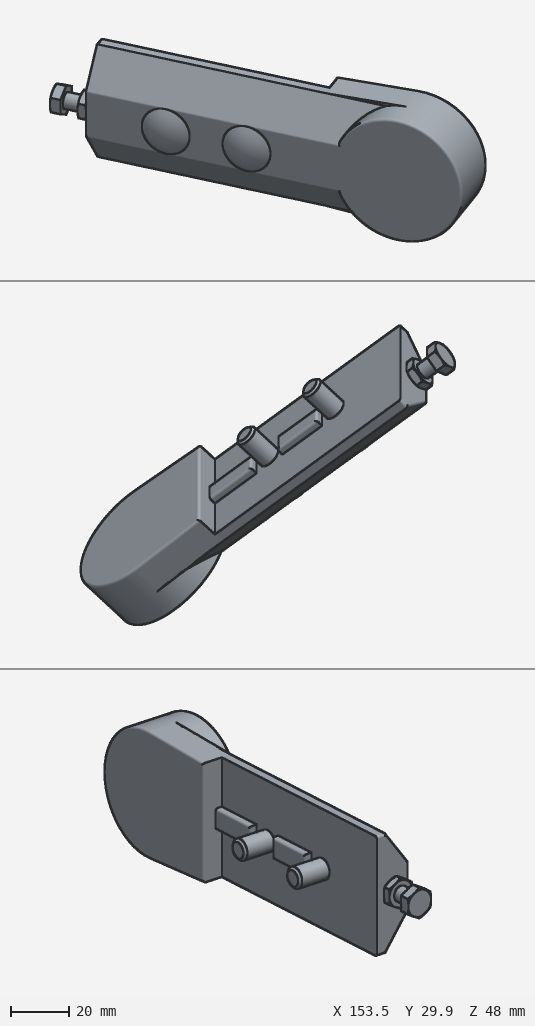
import cadquery as cq
import math


head_radius = 24.0
head_back_y = 8.0
front_y = -14.0
block_start_x = -31.0
edge_fillet = 1.0

arm_end_x = -116.0
arm_half_width = 22.5
arm_flat_half_width = 9.0
side_depth = 4.0

rib_width = 8.0
rib_height = 2.7
rib_bolt_distance = 5.9

bolt_pitch = 30.0
first_bolt_x = -86.0
second_bolt_x = first_bolt_x + bolt_pitch
bolt_diameter = 8.0
bolt_tip_y = 13.0
bolt_tip_chamfer = 1.0
dome_radius = 15.0
dome_height = 2.92

screw_y = -8.0
screw_diameter = 6.0
screw_depth = 12.0
screw_gap = 6.26
screw_head_height = 4.0
nut_height = 3.2
hex_across_flats = 10.0
hex_corner_radius = hex_across_flats / math.sqrt(3)
hex_chamfer_angle = 30.0
hex_chamfer_width = 0.7
hex_chamfer_height = hex_chamfer_width * math.tan(math.radians(hex_chamfer_angle))

nut_outer_x = arm_end_x - nut_height
screw_seat_x = nut_outer_x - screw_gap


def cylinder_y(radius, start_y, end_y, x=0.0):
    """Cylinder along Y between two Y positions, centred on Z = 0."""
    return (
        cq.Workplane("XZ", origin=(x, end_y, 0))
        .circle(radius)
        .extrude(end_y - start_y)
    )


def cylinder_x(radius, start_x, end_x):
    """Cylinder along X on the screw's axis."""
    return (
        cq.Workplane("YZ", origin=(start_x, screw_y, 0))
        .circle(radius)
        .extrude(end_x - start_x)
    )


def make_arm():
    """Bar with sloped flanks, rounded along the front and around its free end."""
    half_section = [
        (0, arm_half_width),
        (-side_depth, arm_half_width),
        (front_y, arm_flat_half_width),
    ]
    mirrored = [(y, -z) for y, z in reversed(half_section)]
    arm = (
        cq.Workplane("YZ", origin=(arm_end_x, 0, 0))
        .polyline(half_section + mirrored)
        .close()
        .extrude(-arm_end_x)
    )
    front_edges = arm.faces("<Y").edges("|X")
    end_edges = arm.faces("<X").edges("not >Y")
    return arm.newObject(front_edges.vals() + end_edges.vals()).fillet(edge_fillet)


def make_head():
    """Front part of the round head, with a rounded front rim; the block forms its back part."""
    head = cylinder_y(head_radius, front_y, 0)
    return head.faces("<Y").edges().fillet(edge_fillet)


def make_block():
    """Block whose sides run tangent into the head; its back edge is rounded all round."""
    corner_distance = math.hypot(block_start_x, arm_half_width)
    corner_angle = math.atan2(arm_half_width, block_start_x)
    tangent_angle = corner_angle - math.acos(head_radius / corner_distance)
    tangent_x = head_radius * math.cos(tangent_angle)
    tangent_z = head_radius * math.sin(tangent_angle)
    block = (
        cq.Workplane("XZ", origin=(0, head_back_y, 0))
        .moveTo(block_start_x, -arm_half_width)
        .lineTo(tangent_x, -tangent_z)
        .threePointArc((head_radius, 0), (tangent_x, tangent_z))
        .lineTo(block_start_x, arm_half_width)
        .close()
        .extrude(head_back_y + side_depth)
    )
    return block.faces(">Y").edges().fillet(edge_fillet)


def make_rib(start_x, end_x):
    """Locating rib standing on the arm's back face, with a rounded top."""
    rib = cq.Workplane("XY").box(end_x - start_x, rib_height, rib_width, centered=(False, False, True))
    return rib.faces(">Y").edges().fillet(edge_fillet).translate((start_x, 0, 0))


def make_housing():
    """Arm, head, block and ribs in one piece, with holes for the bolts and the screw."""
    housing = make_arm().union(make_head()).union(make_block())
    housing = housing.union(make_rib(first_bolt_x + rib_bolt_distance, second_bolt_x - rib_bolt_distance))
    housing = housing.union(make_rib(second_bolt_x + rib_bolt_distance, block_start_x + edge_fillet))
    for x in (first_bolt_x, second_bolt_x):
        housing = housing.cut(cylinder_y(bolt_diameter / 2, front_y, 0, x))
    return housing.cut(cylinder_x(screw_diameter / 2, arm_end_x, arm_end_x + screw_depth))


def make_bolt(x):
    """Bolt with a domed head on the arm's front face and a chamfered tip behind the arm."""
    shank = cylinder_y(bolt_diameter / 2, front_y, bolt_tip_y, x)
    shank = shank.faces(">Y").chamfer(bolt_tip_chamfer)
    ball = cq.Workplane("XY").sphere(dome_radius).translate((x, front_y - dome_height + dome_radius, 0))
    dome = ball.intersect(cylinder_y(dome_radius, front_y - dome_height, front_y, x))
    return shank.union(dome)


def make_hexagon(start_x, height, bevelled_ends):
    """Hexagon prism along X with flats facing +Y and -Y; corners are bevelled at the chosen ends."""
    prism = (
        cq.Workplane("YZ", origin=(start_x, screw_y, 0))
        .transformed(rotate=(0, 0, 90))
        .polygon(6, 2 * hex_corner_radius)
        .extrude(height)
    )
    bevel = (
        cylinder_x(hex_corner_radius, start_x, start_x + height)
        .faces(bevelled_ends)
        .edges()
        .chamfer(hex_chamfer_height, hex_chamfer_width)
    )
    return prism.intersect(bevel)


def make_screw():
    """Hexagon screw whose shank passes through the nut into the arm."""
    head = make_hexagon(screw_seat_x - screw_head_height, screw_head_height, "<X")
    return head.union(cylinder_x(screw_diameter / 2, screw_seat_x, arm_end_x + screw_depth))


def make_nut():
    """Lock nut that lies against the arm's end face."""
    nut = make_hexagon(nut_outer_x, nut_height, "|X")
    return nut.cut(cylinder_x(screw_diameter / 2, nut_outer_x, arm_end_x))


housing = make_housing()
bolts = [make_bolt(x) for x in (first_bolt_x, second_bolt_x)]
screw = make_screw()
nut = make_nut()

result = cq.Compound.makeCompound([housing.val(), *[bolt.val() for bolt in bolts], screw.val(), nut.val()])